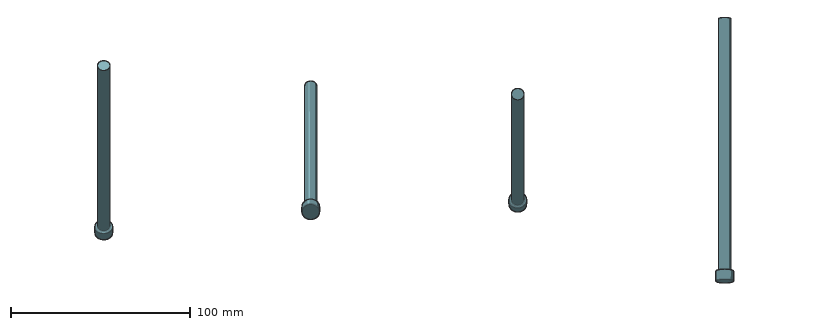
import cadquery as cq

total_length = 150.0
shank_diameter = 7.0
head_diameter = 10.0
head_height = 6.0
edge_radius = 0.3

head = cq.Workplane("XY").circle(head_diameter / 2).extrude(head_height)

shank = (
    cq.Workplane("XY")
    .workplane(offset=head_height)
    .circle(shank_diameter / 2)
    .extrude(total_length - head_height)
)

pin = head.union(shank)

result = pin.edges("%CIRCLE").edges("not >Z").fillet(edge_radius)